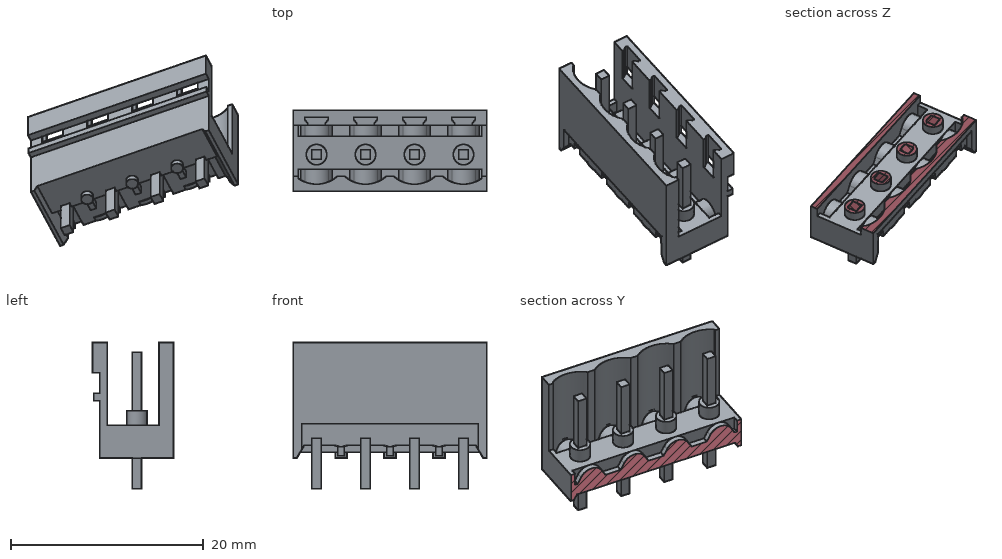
import cadquery as cq
import math


PIN_COUNT = 4
PITCH = 5.08
PIN_SIDE = 1.0
PIN_BOTTOM = -3.2
PIN_TOP = 11.0
pin_xs = [(i - (PIN_COUNT - 1) / 2) * PITCH for i in range(PIN_COUNT)]
peg_xs = [(left + right) / 2 for left, right in zip(pin_xs, pin_xs[1:])]

LENGTH = 20.12
HEIGHT = 12.0
FRONT_Y = -3.81
BACK_Y = 4.62
SLOT_FRONT_Y = -2.27
SLOT_BACK_Y = 3.06
FLOOR_Z = 3.43
REAR_WALL = 0.80
REAR_FACE_Y = SLOT_BACK_Y + REAR_WALL
BLOCK_BOTTOM = 8.84
RIB_BOTTOM = 5.93
RIB_TOP = 6.73
RIB_DEPTH = 0.62

COLLAR_DIAMETER = 2.12
COLLAR_HEIGHT = 1.5

KEYWAY_BOTTOM = 7.9
KEYWAY_MOUTH = 1.86
KEYWAY_WIDTH = 2.42
KEYWAY_NECK_DEPTH = 0.20
KEYWAY_WIDE_DEPTH = 0.55

POCKET_LENGTH = 19.08
REAR_POCKET_Y = 1.88
FRONT_POCKET_Y = -1.54
HUMP_RADIUS = 1.43
HUMP_FLANK_ANGLE = 60.0
POCKET_FLOOR = FLOOR_Z - HUMP_RADIUS

SCALLOP_DEPTH = 0.80
SCALLOP_CHORD = 4.26
SCALLOP_RADIUS = ((SCALLOP_CHORD / 2) ** 2 + SCALLOP_DEPTH**2) / (2 * SCALLOP_DEPTH)

RECESS_LENGTH = 18.28
RECESS_DEPTH = 0.62
RECESS_TOP = 3.56
RECESS_Y = FRONT_Y + RECESS_DEPTH
BELLY_Z = 0.59
SKIRT_BOTTOM = 1.32
STEP_Y = 0.0
FOOT_WIDTH = 0.40
FOOT_ANGLE = 60.0
NOTCH_WIDTH = 0.95
NOTCH_TOP = 2.05
LIP_CHORD = 1.34
LIP_DROP = 0.13
LIP_DEPTH = 0.5
PEG_DIAMETER = 1.25
PEG_Y = STEP_Y + PEG_DIAMETER / 2
BRACE_WIDTH = 0.63
BRACE_BOTTOM = 0.27
BRACE_FRONT_Y = -1.0


def block(x_mid, x_size, y_min, y_max, z_min, z_max):
    """Box centred on x_mid, given by its Y and Z limits."""
    corner = (x_mid - x_size / 2, y_min, z_min)
    return cq.Workplane("XY").box(x_size, y_max - y_min, z_max - z_min, centered=False).translate(corner)


def extrude_along_y(profile, y_min, y_max):
    """Extrude a closed XZ profile drawn at Y = 0 so that it spans y_min to y_max."""
    return profile.extrude(-(y_max - y_min)).translate((0, y_min, 0))


def make_shell():
    """U-shaped body with a thickened rear wall top and a rib on the rear face."""
    shell = block(0, LENGTH, FRONT_Y, REAR_FACE_Y, 0, HEIGHT)
    shell = shell.union(block(0, LENGTH, REAR_FACE_Y, BACK_Y, BLOCK_BOTTOM, HEIGHT))
    shell = shell.union(block(0, LENGTH, REAR_FACE_Y, REAR_FACE_Y + RIB_DEPTH, RIB_BOTTOM, RIB_TOP))
    return shell.cut(block(0, LENGTH, SLOT_FRONT_Y, SLOT_BACK_Y, FLOOR_Z, HEIGHT))


def make_keyway(x):
    """Undercut slot, open at the top, through the thin part of the rear wall."""
    neck_y = SLOT_BACK_Y + KEYWAY_NECK_DEPTH
    wide_y = SLOT_BACK_Y + KEYWAY_WIDE_DEPTH
    half_mouth = KEYWAY_MOUTH / 2
    half_width = KEYWAY_WIDTH / 2
    left_side = [
        (x - half_mouth, SLOT_BACK_Y),
        (x - half_mouth, neck_y),
        (x - half_width, wide_y),
        (x - half_width, REAR_FACE_Y),
    ]
    right_side = [(2 * x - px, py) for px, py in reversed(left_side)]
    profile = cq.Workplane("XY").workplane(offset=KEYWAY_BOTTOM).polyline(left_side + right_side).close()
    return profile.extrude(HEIGHT - KEYWAY_BOTTOM)


def make_hump(x):
    """Ridge along Y with a round crown level with the floor and straight tangent flanks."""
    flank = math.radians(HUMP_FLANK_ANGLE)
    crown_half = HUMP_RADIUS * math.sin(flank)
    crown_z = POCKET_FLOOR + HUMP_RADIUS * math.cos(flank)
    foot_half = HUMP_RADIUS / math.sin(flank)
    profile = (
        cq.Workplane("XZ")
        .moveTo(x - foot_half, POCKET_FLOOR)
        .lineTo(x - crown_half, crown_z)
        .threePointArc((x, FLOOR_Z), (x + crown_half, crown_z))
        .lineTo(x + foot_half, POCKET_FLOOR)
        .close()
    )
    return extrude_along_y(profile, FRONT_Y, SLOT_BACK_Y)


def make_scallop(x, z_min, z_max):
    """Upright round hollow in the front wall, kept within the pocket length."""
    centre_y = SLOT_FRONT_Y - SCALLOP_DEPTH + SCALLOP_RADIUS
    cylinder = cq.Workplane("XY").workplane(offset=z_min).center(x, centre_y).circle(SCALLOP_RADIUS)
    limits = block(0, POCKET_LENGTH, FRONT_Y, SLOT_FRONT_Y, z_min, z_max)
    return cylinder.extrude(z_max - z_min).intersect(limits)


def make_floor_pockets():
    """Two sunken strips beside the pin row, the front one following the scallops."""
    pockets = block(0, POCKET_LENGTH, REAR_POCKET_Y, SLOT_BACK_Y, POCKET_FLOOR, FLOOR_Z)
    pockets = pockets.union(block(0, POCKET_LENGTH, SLOT_FRONT_Y, FRONT_POCKET_Y, POCKET_FLOOR, FLOOR_Z))
    for x in pin_xs:
        pockets = pockets.union(make_scallop(x, POCKET_FLOOR, FLOOR_Z))
    for x in pin_xs:
        pockets = pockets.cut(make_hump(x))
    return pockets


def make_underside_channel(roof_z, y_min, y_max):
    """Channel between the two feet, with sloping sides and a flat roof at roof_z."""
    half_bottom = LENGTH / 2 - FOOT_WIDTH
    half_roof = half_bottom - roof_z / math.tan(math.radians(FOOT_ANGLE))
    profile = cq.Workplane("XZ").polyline(
        [(-half_bottom, 0), (-half_roof, roof_z), (half_roof, roof_z), (half_bottom, 0)]
    ).close()
    return extrude_along_y(profile, y_min, y_max)


def make_lip(x):
    """Shallow rounded lip hanging from the lower edge of the recessed front face."""
    profile = (
        cq.Workplane("XZ")
        .moveTo(x - LIP_CHORD / 2, SKIRT_BOTTOM)
        .threePointArc((x, SKIRT_BOTTOM - LIP_DROP), (x + LIP_CHORD / 2, SKIRT_BOTTOM))
        .close()
    )
    return extrude_along_y(profile, RECESS_Y, RECESS_Y + LIP_DEPTH)


def make_standoff(x):
    """Round peg between two pins, braced by a small rib in front of it."""
    peg = cq.Workplane("XY").center(x, PEG_Y).circle(PEG_DIAMETER / 2).extrude(BELLY_Z)
    return peg.union(block(x, BRACE_WIDTH, BRACE_FRONT_Y, PEG_Y, BRACE_BOTTOM, SKIRT_BOTTOM))


def make_pin(x):
    """Straight square pin."""
    return block(x, PIN_SIDE, -PIN_SIDE / 2, PIN_SIDE / 2, PIN_BOTTOM, PIN_TOP)


def make_housing():
    housing = make_shell()
    for x in pin_xs:
        housing = housing.cut(make_scallop(x, FLOOR_Z, HEIGHT))
    housing = housing.cut(make_floor_pockets())
    housing = housing.cut(block(0, RECESS_LENGTH, FRONT_Y, RECESS_Y, 0, RECESS_TOP))
    housing = housing.cut(make_underside_channel(BELLY_Z, FRONT_Y, REAR_FACE_Y))
    housing = housing.cut(make_underside_channel(SKIRT_BOTTOM, FRONT_Y, STEP_Y))
    for x in peg_xs:
        housing = housing.union(make_lip(x)).union(make_standoff(x))
    for x in pin_xs:
        collar = cq.Workplane("XY").workplane(offset=FLOOR_Z).center(x, 0)
        housing = housing.union(collar.circle(COLLAR_DIAMETER / 2).extrude(COLLAR_HEIGHT))
        housing = housing.cut(make_keyway(x))
        housing = housing.cut(block(x, NOTCH_WIDTH, RECESS_Y, STEP_Y, SKIRT_BOTTOM, NOTCH_TOP))
        housing = housing.cut(make_pin(x))
    return housing


housing = make_housing()
pins = [make_pin(x) for x in pin_xs]

result = cq.Compound.makeCompound([housing.val(), *[pin.val() for pin in pins]])